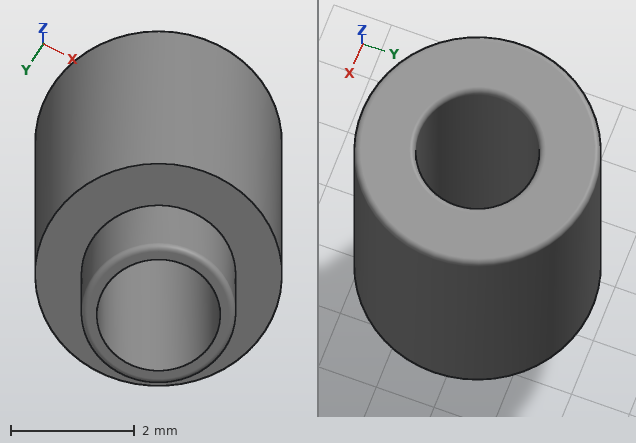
import cadquery as cq

body_diameter = 4.0
body_height = 5.0
spigot_diameter = 2.5
spigot_height = 1.5
bore_diameter = 2.0
edge_radius = 0.1

total_height = spigot_height + body_height


def make_spigot():
    """Lower pin, with its outer bottom edge rounded."""
    spigot = cq.Workplane("XY").circle(spigot_diameter / 2).extrude(spigot_height)
    return spigot.faces("<Z").edges().fillet(edge_radius)


def make_body():
    """Upper cylinder; its lower edge stays sharp at the shoulder."""
    return (
        cq.Workplane("XY")
        .workplane(offset=spigot_height)
        .circle(body_diameter / 2)
        .extrude(body_height)
    )


def make_bore():
    """Cylinder that cuts the through bore."""
    return cq.Workplane("XY").circle(bore_diameter / 2).extrude(total_height)


bored_part = make_spigot().union(make_body()).cut(make_bore())

result = bored_part.faces(">Z").edges().fillet(edge_radius)